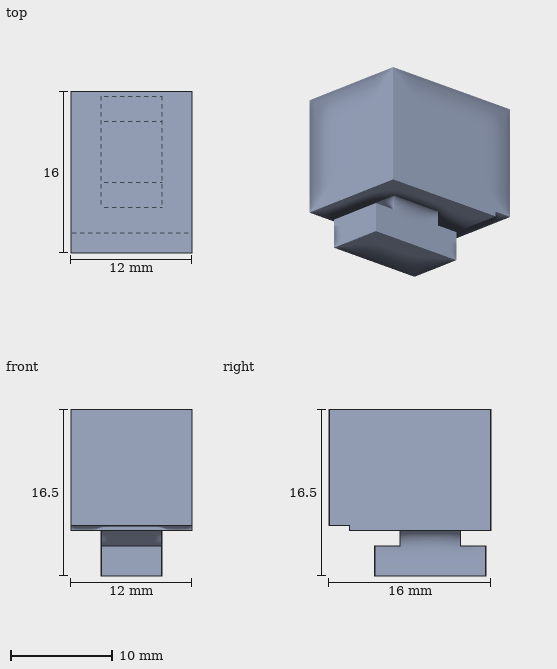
import cadquery as cq

body_width = 12.0
body_length = 16.0
body_height = 12.0

relief_length = 2.0
relief_height = 0.5

key_width = 6.0
neck_length = 6.0
neck_height = 1.5
foot_length = 11.0
foot_height = 3.0
foot_back_inset = 0.5

neck_bottom = foot_height
body_bottom = neck_bottom + neck_height
body_front = -body_length / 2
key_center_y = body_length / 2 - foot_back_inset - foot_length / 2


def block(width, length, height, center_y, bottom):
    """Box centred on X = 0 and on center_y, standing on Z = bottom."""
    return (
        cq.Workplane("XY")
        .box(width, length, height, centered=(True, True, False))
        .translate((0, center_y, bottom))
    )


def make_body():
    body = block(body_width, body_length, body_height, 0, body_bottom)
    relief_center_y = body_front + relief_length / 2
    relief = block(body_width, relief_length, relief_height, relief_center_y, body_bottom)
    return body.cut(relief)


def make_key():
    neck = block(key_width, neck_length, neck_height, key_center_y, neck_bottom)
    foot = block(key_width, foot_length, foot_height, key_center_y, 0)
    return neck.union(foot)


result = make_body().union(make_key())